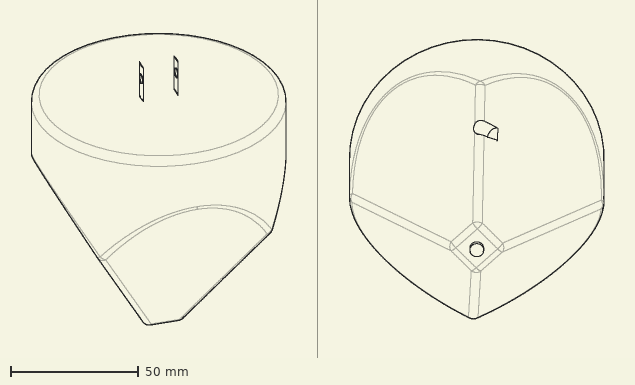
import cadquery as cq
import math

total_height = 117.0
body_radius = 50.02
body_height = 100.0
pin_height = 2.0
pin_diameter = 5.5
edge_radius = 3.0

taper_height = 76.5
tip_half_width = 7.6

blade_width = 5.5
blade_inner_offset = 7.1
blade_outer_offset = 7.5
blade_hole_diameter = 4.0
blade_hole_from_tip = 6.2

cable_hole_radius = 3.3
cable_hole_depth = 9.0
cable_hole_x = -27.1
cable_hole_height = 34.5

body_bottom = pin_height
body_top = body_bottom + body_height
blade_height = total_height - body_top
taper_slope = (body_radius - tip_half_width) / taper_height
taper_angle = math.atan(taper_slope)


def make_body():
    """Cylinder trimmed by a square pyramid, with all edges rounded."""
    cylinder = cq.Workplane("XY").workplane(offset=body_bottom).circle(body_radius).extrude(body_height)
    top_half_width = tip_half_width + taper_slope * body_height
    pyramid = (
        cq.Workplane("XY")
        .workplane(offset=body_bottom)
        .rect(2 * tip_half_width, 2 * tip_half_width)
        .workplane(offset=body_height)
        .rect(2 * top_half_width, 2 * top_half_width)
        .loft(ruled=True)
    )
    return cylinder.intersect(pyramid).edges("not |Z").fillet(edge_radius)


def make_blades():
    """Two thin blades, flat inside and curved outside, with a cross hole."""
    half_width = blade_width / 2
    blade = (
        cq.Workplane("XY")
        .workplane(offset=body_top)
        .moveTo(-half_width, blade_inner_offset)
        .lineTo(half_width, blade_inner_offset)
        .threePointArc((0, blade_outer_offset), (-half_width, blade_inner_offset))
        .close()
        .extrude(blade_height)
    )
    cross_hole = (
        cq.Workplane("XZ")
        .center(0, total_height - blade_hole_from_tip)
        .circle(blade_hole_diameter / 2)
        .extrude(blade_outer_offset, both=True)
    )
    return blade.union(blade.mirror("XZ")).cut(cross_hole)


def make_cable_hole():
    """Blind hole that starts outside the +Y face and breaks through the -X face."""
    outward = cq.Vector(0, math.cos(taper_angle), -math.sin(taper_angle))
    entry = cq.Vector(
        cable_hole_x,
        tip_half_width + taper_slope * cable_hole_height,
        body_bottom + cable_hole_height,
    )
    bottom = entry - outward * cable_hole_depth
    return cq.Solid.makeCylinder(cable_hole_radius, 2 * cable_hole_depth, bottom, outward)


tip_pin = cq.Workplane("XY").circle(pin_diameter / 2).extrude(pin_height)

result = make_body().cut(make_cable_hole()).union(make_blades()).union(tip_pin)